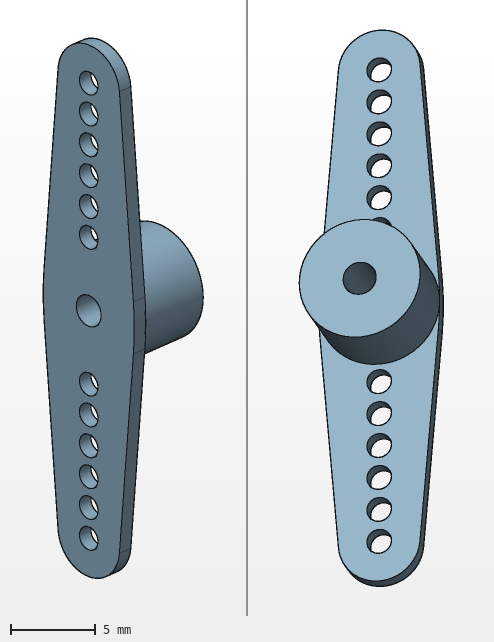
import cadquery as cq
import math

arm_length = 34.5
plate_thickness = 1.0
tip_radius = 2.5
tip_center = arm_length / 2 - tip_radius
side_radius = 20.0

hub_diameter = 7.35
total_depth = 6.0
arm_half_width = hub_diameter / 2

bore_diameter = 2.0
link_hole_diameter = 1.5
link_hole_pitch = 2.0
link_holes_per_side = 6


def taper_angle():
    """Slope from vertical of the line tangent to both the side arc and the tip arc."""
    side_center_offset = side_radius - arm_half_width
    center_distance = math.hypot(side_center_offset, tip_center)
    center_angle = math.atan2(tip_center, side_center_offset)
    return center_angle - math.acos((side_radius - tip_radius) / center_distance)


def make_plate():
    angle = taper_angle()
    side_x = arm_half_width - side_radius * (1 - math.cos(angle))
    side_z = side_radius * math.sin(angle)
    tip_x = tip_radius * math.cos(angle)
    tip_z = tip_center + tip_radius * math.sin(angle)
    outline = (
        cq.Workplane("XZ")
        .moveTo(side_x, -side_z)
        .threePointArc((arm_half_width, 0), (side_x, side_z))
        .lineTo(tip_x, tip_z)
        .threePointArc((0, arm_length / 2), (-tip_x, tip_z))
        .lineTo(-side_x, side_z)
        .threePointArc((-arm_half_width, 0), (-side_x, -side_z))
        .lineTo(-tip_x, -tip_z)
        .threePointArc((0, -arm_length / 2), (tip_x, -tip_z))
        .close()
    )
    return outline.extrude(-plate_thickness)


def make_hub():
    return (
        cq.Workplane("XZ", origin=(0, plate_thickness, 0))
        .circle(hub_diameter / 2)
        .extrude(plate_thickness - total_depth)
    )


def make_bore():
    return cq.Workplane("XZ").circle(bore_diameter / 2).extrude(-total_depth)


def make_link_holes():
    offsets = [tip_center - i * link_hole_pitch for i in range(link_holes_per_side)]
    centers = [(0, side * offset) for side in (1, -1) for offset in offsets]
    return (
        cq.Workplane("XZ")
        .pushPoints(centers)
        .circle(link_hole_diameter / 2)
        .extrude(-plate_thickness)
    )


result = make_plate().union(make_hub()).cut(make_bore()).cut(make_link_holes())